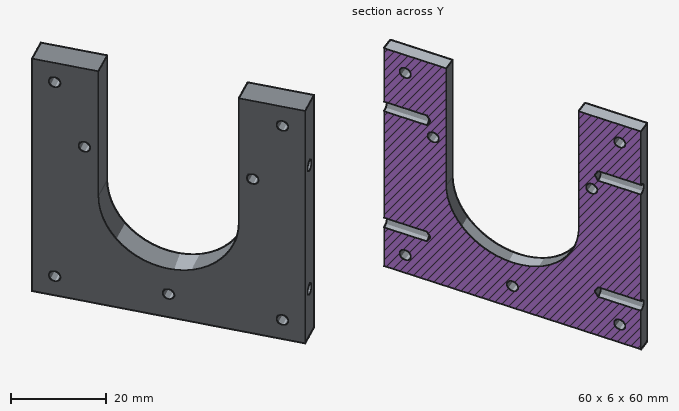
import cadquery as cq
import math

side = 60.0
thickness = 6.0

slot_radius = 15.4
slot_center_z = -2.05

hole_diameter = 2.5
corner_inset = 5.0
upper_mount_x = 18.5
upper_mount_z = 9.85
lower_mount_z = -24.0

edge_hole_depth = 10.0
edge_hole_heights = (13.9, -18.0)
drill_point_angle = 118.0


def make_plate():
    return cq.Workplane("XY").box(side, thickness, side)


def make_slot():
    """Round-bottomed cutter running up through the top edge."""
    top = side / 2
    return (
        cq.Workplane("XZ")
        .moveTo(-slot_radius, top)
        .lineTo(-slot_radius, slot_center_z)
        .threePointArc((0, slot_center_z - slot_radius), (slot_radius, slot_center_z))
        .lineTo(slot_radius, top)
        .close()
        .extrude(thickness / 2, both=True)
    )


def make_face_holes():
    """Through holes: four corners and three mounts around the opening."""
    corner = side / 2 - corner_inset
    points = [(x, z) for x in (-corner, corner) for z in (-corner, corner)]
    points += [(-upper_mount_x, upper_mount_z), (upper_mount_x, upper_mount_z), (0, lower_mount_z)]
    return (
        cq.Workplane("XZ")
        .pushPoints(points)
        .circle(hole_diameter / 2)
        .extrude(thickness / 2, both=True)
    )


def make_edge_hole(direction, height):
    """Drilled hole with a conical end, entering from the -X (-1) or +X (+1) edge."""
    radius = hole_diameter / 2
    tip_length = radius / math.tan(math.radians(drill_point_angle / 2))
    mouth_x = direction * side / 2
    shoulder_x = mouth_x - direction * edge_hole_depth
    tip_x = shoulder_x - direction * tip_length
    return (
        cq.Workplane("XY", origin=(0, 0, height))
        .moveTo(mouth_x, 0)
        .lineTo(mouth_x, radius)
        .lineTo(shoulder_x, radius)
        .lineTo(tip_x, 0)
        .close()
        .revolve(360, (0, 0, 0), (1, 0, 0))
    )


result = make_plate().cut(make_slot()).cut(make_face_holes())
for direction in (-1, 1):
    for height in edge_hole_heights:
        result = result.cut(make_edge_hole(direction, height))